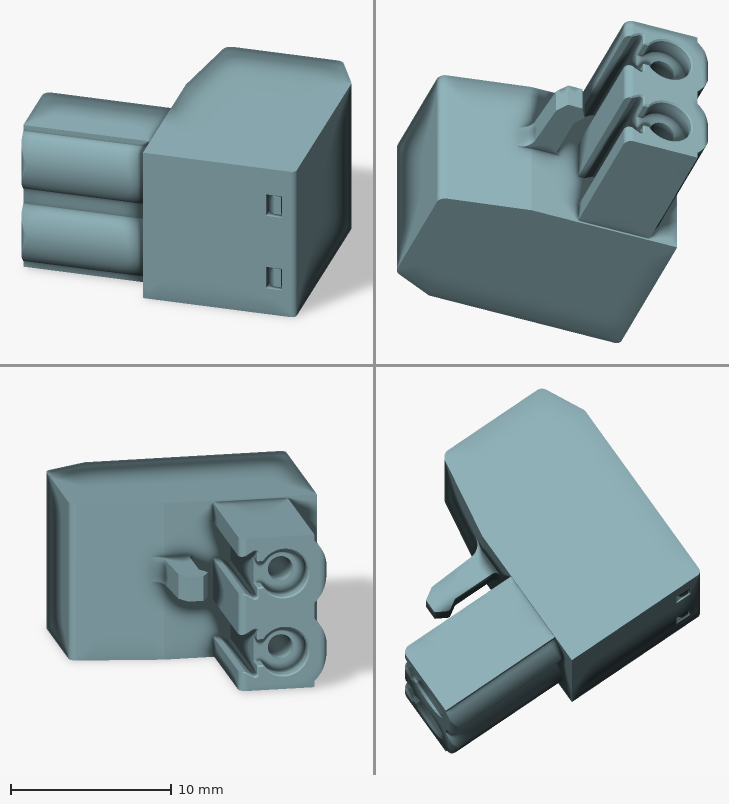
import cadquery as cq
import math


body_length = 9.9
body_depth = 15.55
body_height = 10.18
plug_length = 8.3
pitch = 5.08
pole_heights = [-pitch / 2, pitch / 2]

left_slope_start = 9.76
left_slope_run = 0.96
right_slope_start = 12.77
right_slope_run = 1.36
back_corner_radius = 0.55
front_corner_radius = 0.32

plug_back = 6.64
plug_shoulder = 1.86
plug_height = 9.92
plug_end_radius = 0.5
pole_y = 3.79
pole_radius = 2.79

socket_radius = 1.52
socket_depth = 1.2
neck_half_width = 0.8
slot_floor = 5.5
slot_half_width = 1.5
slot_taper_start = 5.7
mouth_start = 6.22
mouth_half_width = 1.2
slot_overrun = 1.0
keyhole_rounding = 0.1
lead_in = 0.1
pin_hole_radius = 0.79
pin_hole_depth = 4.0

latch_bottom = 0.0
latch_top = 1.6
latch_end_x = -4.72
latch_end_front_y = 8.2
latch_end_back_y = 9.15
latch_hook_x = -3.91
latch_hook_y = 7.73
latch_hook_rounding = 0.2
latch_neck_x = -3.19
latch_front_y = 8.18
latch_shoulder_x = -3.94
latch_shoulder_y = 9.64
latch_blend_start = (-0.7, 9.83)
latch_blend_middle = (-0.15, 10.12)
latch_root_y = 10.7
latch_front_fillet = 0.38
latch_root_overlap = 0.5

window_width = 1.05
window_height = 1.5
window_depth = 0.8
window_right_margin = 0.87
tongue_width = 0.94
tongue_height = 1.2
tongue_recess = 0.1
tongue_ramp = 0.5


def make_body():
    """Housing with sloped back corners and one rounded front corner."""
    body = (
        cq.Workplane("XY")
        .workplane(offset=-body_height / 2)
        .polyline([
            (0, 0),
            (body_length, 0),
            (body_length, right_slope_start),
            (body_length - right_slope_run, body_depth),
            (left_slope_run, body_depth),
            (0, left_slope_start),
        ])
        .close()
        .extrude(body_height)
    )
    body = body.edges("|Z and >Y").fillet(back_corner_radius)
    return body.edges("|Z and <Y").edges(">X").fillet(front_corner_radius)


def make_plug():
    """Plug block with one round bulge per pole and rounded end corners."""
    section = (
        cq.Workplane("YZ", origin=(-plug_length, 0, 0))
        .center((plug_shoulder + plug_back) / 2, 0)
        .rect(plug_back - plug_shoulder, plug_height)
        .extrude(plug_length)
    )
    for z in pole_heights:
        bulge = (
            cq.Workplane("YZ", origin=(-plug_length, 0, 0))
            .center(pole_y, z)
            .circle(pole_radius)
            .extrude(plug_length)
        )
        section = section.union(bulge)

    plug_front = pole_y - pole_radius
    envelope = (
        cq.Workplane("XY")
        .center(-plug_length / 2, (plug_front + plug_back) / 2)
        .rect(plug_length, plug_back - plug_front)
        .extrude(plug_height / 2, both=True)
        .edges("|Z and <X")
        .fillet(plug_end_radius)
    )
    return section.intersect(envelope)


def make_keyhole(z):
    """Cutter for one pole: round socket, narrow neck and a slot open to the back."""
    start_x = lead_in - plug_length
    neck_start = pole_y + math.sqrt(socket_radius**2 - neck_half_width**2)
    slot_end = plug_back + slot_overrun
    section = (
        cq.Workplane("YZ", origin=(start_x, 0, z))
        .moveTo(neck_start, neck_half_width)
        .lineTo(slot_floor, neck_half_width)
        .lineTo(slot_floor, slot_half_width)
        .lineTo(slot_taper_start, slot_half_width)
        .lineTo(mouth_start, mouth_half_width)
        .lineTo(slot_end, mouth_half_width)
        .lineTo(slot_end, -mouth_half_width)
        .lineTo(mouth_start, -mouth_half_width)
        .lineTo(slot_taper_start, -slot_half_width)
        .lineTo(slot_floor, -slot_half_width)
        .lineTo(slot_floor, -neck_half_width)
        .lineTo(neck_start, -neck_half_width)
        .threePointArc((pole_y - socket_radius, 0), (neck_start, neck_half_width))
        .close()
    )
    inner_corners = cq.selectors.BoxSelector(
        (start_x, pole_y, z - pitch / 2),
        (0, (slot_taper_start + mouth_start) / 2, z + pitch / 2),
    )
    keyhole = section.extrude(-start_x).edges("|X").edges(inner_corners).fillet(keyhole_rounding)

    outline = keyhole.faces("<X").wires().val()
    flare = cq.Solid.extrudeLinear(outline, [], cq.Vector(-lead_in, 0, 0), -45)

    backing = (
        cq.Workplane("XY")
        .box(plug_length - socket_depth, slot_floor, pitch, centered=(False, False, True))
        .translate((socket_depth - plug_length, 0, z))
    )
    pin_hole = (
        cq.Workplane("YZ", origin=(socket_depth - plug_length, 0, 0))
        .center(pole_y, z)
        .circle(pin_hole_radius)
        .extrude(pin_hole_depth)
    )
    return keyhole.cut(backing).union(cq.Workplane(flare)).union(pin_hole)


def make_latch():
    """Hooked latch arm on the left face, blended into the body at both sides."""
    slope = left_slope_run / (body_depth - left_slope_start)
    root_x = slope * (latch_root_y - left_slope_start)
    fillet_start_x = -latch_front_fillet
    fillet_end_y = latch_front_y - latch_front_fillet
    fillet_sagitta = latch_front_fillet * (1 - math.sqrt(0.5))
    arm = (
        cq.Workplane("XY")
        .workplane(offset=latch_bottom)
        .moveTo(latch_root_overlap, latch_root_y)
        .lineTo(root_x, latch_root_y)
        .threePointArc(latch_blend_middle, latch_blend_start)
        .lineTo(latch_shoulder_x, latch_shoulder_y)
        .lineTo(latch_end_x, latch_end_back_y)
        .lineTo(latch_end_x, latch_end_front_y)
        .lineTo(latch_hook_x, latch_hook_y)
        .lineTo(latch_neck_x, latch_front_y)
        .lineTo(fillet_start_x, latch_front_y)
        .threePointArc((-fillet_sagitta, latch_front_y - fillet_sagitta), (0, fillet_end_y))
        .lineTo(latch_root_overlap, fillet_end_y)
        .close()
        .extrude(latch_top - latch_bottom)
    )
    return arm.edges("|Z and <Y").edges("<X").fillet(latch_hook_rounding)


def make_window(z):
    """Cutter for one window, leaving a ramped tongue standing inside it."""
    left = body_length - window_right_margin - window_width
    pocket = (
        cq.Workplane("XY")
        .box(window_width, window_depth, window_height, centered=(False, False, True))
        .translate((left, 0, z))
    )
    tongue = (
        cq.Workplane("XY")
        .workplane(offset=z - tongue_height / 2)
        .polyline([
            (left, window_depth),
            (left, tongue_recess + tongue_ramp),
            (left + tongue_ramp, tongue_recess),
            (left + tongue_width, tongue_recess),
            (left + tongue_width, window_depth),
        ])
        .close()
        .extrude(tongue_height)
    )
    return pocket.cut(tongue)


plug = make_plug()
for pole_z in pole_heights:
    plug = plug.cut(make_keyhole(pole_z))

result = make_body().union(plug).union(make_latch())
for pole_z in pole_heights:
    result = result.cut(make_window(pole_z))